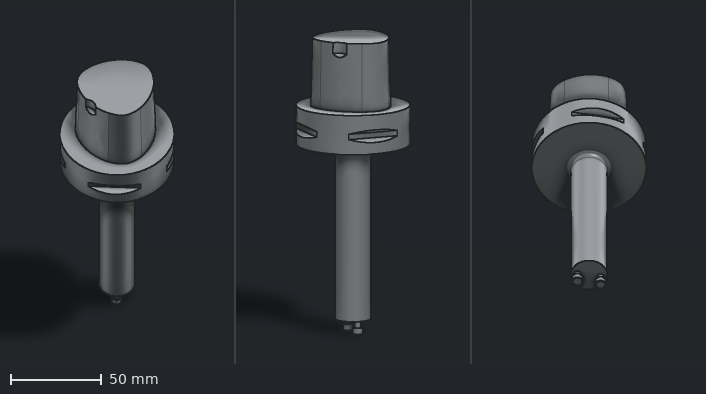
import cadquery as cq
import math

POLYGON_DIAMETER = 44.1
POLYGON_ECCENTRICITY = 1.4
POLYGON_TAPER = 1 / 20
POLYGON_HEIGHT = 38.0
LOBE_COUNT = 3
LOBE_HALF_ANGLE = 36.0
SPLINE_STEPS = 12

NOTCH_RADIUS = 6.0
NOTCH_DEPTH = 6.0
NOTCH_BITE = 1.8

FLANGE_DIAMETER = 63.0
FLANGE_HEIGHT = 22.0
GROOVE_COUNT = 4
GROOVE_FIRST_ANGLE = 45.0
GROOVE_CENTRE_DROP = 12.0
GROOVE_LENGTH = 29.0
GROOVE_FLOOR_WIDTH = 3.0
GROOVE_FLANK_ANGLE = 30.0

BAR_DIAMETER = 20.0
BAR_LENGTH = 98.0
BAR_FILLET = 3.0

SCREW_OFFSET = 4.6
SCREW_SHANK_DIAMETER = 3.5
SCREW_SHANK_LENGTH = 3.8
SCREW_HEAD_DIAMETER = 5.7
SCREW_HEAD_HEIGHT = 3.7
SCREW_HEAD_CHAMFER = 0.3

SHANK_TOP = POLYGON_HEIGHT
FLANGE_BOTTOM = -FLANGE_HEIGHT
BAR_BOTTOM = FLANGE_BOTTOM - BAR_LENGTH
FLANGE_RADIUS = FLANGE_DIAMETER / 2
SHANK_TOP_DIAMETER = POLYGON_DIAMETER - POLYGON_TAPER * POLYGON_HEIGHT


def polygon_point(diameter, angle, z):
    """Point of the constant-width lobed curve; one lobe points along +Y."""
    a = math.radians(angle)
    e = POLYGON_ECCENTRICITY
    along = diameter / 2 * math.cos(a) - 2 * e * math.cos(2 * a) + e * math.cos(4 * a)
    across = diameter / 2 * math.sin(a) + 2 * e * math.sin(2 * a) + e * math.sin(4 * a)
    return cq.Vector(across, -along, z)


def polygon_wire(diameter, z):
    """Closed lobed outline, split at a seam on both sides of every lobe."""
    pitch = 360 / LOBE_COUNT
    edges = []
    for lobe in range(LOBE_COUNT):
        tip = pitch * (lobe + 0.5)
        seams = (tip - LOBE_HALF_ANGLE, tip + LOBE_HALF_ANGLE, tip + pitch - LOBE_HALF_ANGLE)
        for start, end in zip(seams, seams[1:]):
            step = (end - start) / SPLINE_STEPS
            points = [polygon_point(diameter, start + i * step, z) for i in range(SPLINE_STEPS + 1)]
            edges.append(cq.Edge.makeSpline(points))
    return cq.Wire.assembleEdges(edges)


def make_shank():
    base = polygon_wire(POLYGON_DIAMETER, 0)
    end = polygon_wire(SHANK_TOP_DIAMETER, SHANK_TOP)
    return cq.Workplane(cq.Solid.makeLoft([base, end], True))


def make_notch():
    """Vertical drill body with a 90 degree tip, whose axis lies outside the flat side of the shank."""
    flat_distance = SHANK_TOP_DIAMETER / 2 - POLYGON_ECCENTRICITY
    axis_y = -(flat_distance - NOTCH_BITE + NOTCH_RADIUS)
    straight_end = SHANK_TOP - NOTCH_DEPTH
    profile = (
        cq.Workplane("XZ")
        .moveTo(0, SHANK_TOP)
        .lineTo(NOTCH_RADIUS, SHANK_TOP)
        .lineTo(NOTCH_RADIUS, straight_end)
        .lineTo(0, straight_end - NOTCH_RADIUS)
        .close()
    )
    return profile.revolve(360, (0, 0, 0), (0, 1, 0)).translate((0, axis_y, 0))


def make_body():
    """Flange and bar as one turned shape with a fillet between them."""
    bar_radius = BAR_DIAMETER / 2
    return (
        cq.Workplane("XZ")
        .lineTo(FLANGE_RADIUS, 0)
        .lineTo(FLANGE_RADIUS, FLANGE_BOTTOM)
        .lineTo(bar_radius + BAR_FILLET, FLANGE_BOTTOM)
        .radiusArc((bar_radius, FLANGE_BOTTOM - BAR_FILLET), -BAR_FILLET)
        .lineTo(bar_radius, BAR_BOTTOM)
        .lineTo(0, BAR_BOTTOM)
        .close()
        .revolve(360, (0, 0, 0), (0, 1, 0))
    )


def make_groove():
    """Straight trapezoidal groove cutting the +X side of the flange."""
    floor_x = math.sqrt(FLANGE_RADIUS**2 - (GROOVE_LENGTH / 2) ** 2)
    floor_half = GROOVE_FLOOR_WIDTH / 2
    mouth_half = floor_half + (FLANGE_RADIUS - floor_x) * math.tan(math.radians(GROOVE_FLANK_ANGLE))
    outline = [
        (floor_x, -floor_half),
        (FLANGE_RADIUS, -mouth_half),
        (FLANGE_RADIUS, mouth_half),
        (floor_x, floor_half),
    ]
    groove = cq.Workplane("XZ").polyline(outline).close().extrude(FLANGE_RADIUS, both=True)
    return groove.translate((0, 0, -GROOVE_CENTRE_DROP))


def make_screw(x, y):
    shank = (
        cq.Workplane("XY", origin=(x, y, BAR_BOTTOM))
        .circle(SCREW_SHANK_DIAMETER / 2)
        .extrude(-SCREW_SHANK_LENGTH)
    )
    head = (
        cq.Workplane("XY", origin=(x, y, BAR_BOTTOM - SCREW_SHANK_LENGTH))
        .circle(SCREW_HEAD_DIAMETER / 2)
        .extrude(-SCREW_HEAD_HEIGHT)
        .faces("<Z")
        .chamfer(SCREW_HEAD_CHAMFER)
    )
    return shank.union(head)


result = make_body().union(make_shank()).cut(make_notch())

groove = make_groove()
for index in range(GROOVE_COUNT):
    angle = GROOVE_FIRST_ANGLE + index * 360 / GROOVE_COUNT
    result = result.cut(groove.rotate((0, 0, 0), (0, 0, 1), angle))

for side in (-1, 1):
    result = result.union(make_screw(side * SCREW_OFFSET, -side * SCREW_OFFSET))